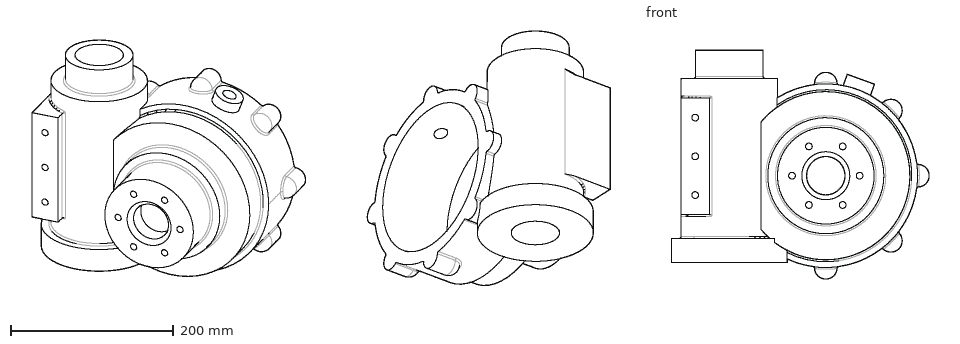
import cadquery as cq
import math


fillet_radius = 2.38
tolerance = 0.03

rim_diameter = 226.2
rim_front = -80.7
cover_diameter = 207.0
cover_front = -116.5
collar_diameter = 143.0
collar_front = -135.5
hub_diameter = 119.0
hub_front = -189.3

shaft_bore_diameter = 47.0
bore_chamfer = 6.0
bore_lip_depth = 28.0
hub_chamber_diameter = 59.5
cavity_diameter = 192.5
wall_thickness = 16.5

screw_hole_diameter = 8.3
screw_hole_depth = 19.0
drill_point_angle = 118
hub_screw_count = 6
hub_screw_circle_diameter = 83.2

lug_count = 8
lug_radius = 14.0
lug_centre_radius = 113.5
lug_length = 28.0

boss_tilt = 20
boss_y = -41.5
boss_diameter = 36.0
boss_hole_diameter = 17.0
boss_top_radius = 126.5

worm_x = -118.8
flange_diameter = 143.0
worm_y = -flange_diameter / 2
flange_bottom = -107.0
flange_top = -77.2
tube_diameter = 119.0
tube_top = 119.8
neck_diameter = 83.5
neck_top = 154.7
worm_bore_diameter = 59.5

pad_width = 35.3
pad_front = -142.0
pad_height = 143.3
pad_mid_z = 23.8
pad_left = worm_x - tube_diameter / 2
pad_hole_pitch = 47.5
pad_hole_count = 3
pad_trim = 6.5

ORIGIN = (0, 0, 0)
Y_AXIS = (0, 1, 0)


def wheel_disc(diameter, back, front):
    """Cylinder about the wheel axis."""
    return cq.Workplane("XZ", origin=(0, back, 0)).circle(diameter / 2).extrude(back - front)


def worm_disc(diameter, bottom, top):
    """Cylinder about the worm axis."""
    plane = cq.Workplane("XY", origin=(worm_x, worm_y, bottom))
    return plane.circle(diameter / 2).extrude(top - bottom)


def corner_ring(diameter):
    """Ring about Z, with a concave face, that fills the corner between a cylinder and the plane Z = 0."""
    radius = diameter / 2
    arc_mid = fillet_radius * (1 - math.sqrt(0.5))
    return (
        cq.Workplane("XZ")
        .moveTo(radius - fillet_radius, 0)
        .lineTo(radius + fillet_radius, 0)
        .threePointArc((radius + arc_mid, arc_mid), (radius, fillet_radius))
        .lineTo(radius - fillet_radius, fillet_radius)
        .close()
        .revolve(360, ORIGIN, Y_AXIS)
    )


def face_front(shape):
    """Turn a shape built along +Z so that it points along -Y."""
    return shape.rotate(ORIGIN, (1, 0, 0), 90)


def around_wheel(shape, count):
    """Evenly spaced copies of a shape about the wheel axis."""
    return [shape.rotate(ORIGIN, Y_AXIS, i * 360 / count) for i in range(count)]


def tilted_post(diameter):
    """Cylinder from the wheel axis out to the top of the filler boss."""
    post = cq.Workplane("XY").circle(diameter / 2).extrude(boss_top_radius)
    return post.rotate(ORIGIN, Y_AXIS, boss_tilt).translate((0, boss_y, 0))


def make_lug():
    shank = cq.Workplane("XZ", origin=(lug_centre_radius, 0, 0)).circle(lug_radius).extrude(lug_length)
    tip = cq.Workplane("XY", origin=(lug_centre_radius, -lug_length, 0)).sphere(lug_radius)
    return shank.union(tip)


def make_rim():
    """Largest step of the housing with its lugs blended in."""
    rim = wheel_disc(rim_diameter, 0, rim_front)
    for lug in around_wheel(make_lug(), lug_count):
        rim = rim.union(lug)

    def is_lug_seam(edge):
        middle = edge.positionAt(0.5)
        on_rim = abs(math.hypot(middle.x, middle.z) - rim_diameter / 2) < tolerance
        return on_rim and rim_front + tolerance < middle.y < -tolerance

    seams = [edge for edge in rim.edges().vals() if is_lug_seam(edge)]
    return rim.newObject(seams).fillet(fillet_radius)


def make_wheel_housing():
    housing = make_rim()
    back = rim_front
    steps = [(cover_diameter, cover_front), (collar_diameter, collar_front), (hub_diameter, hub_front)]
    for diameter, front in steps:
        housing = housing.union(wheel_disc(diameter, back, front))
        housing = housing.union(face_front(corner_ring(diameter)).translate((0, back, 0)))
        back = front
    return housing.union(tilted_post(boss_diameter))


def make_tube_with_pad():
    """Worm tube and pad, blended before the pad is trimmed flush with the side of the tube."""
    tube = worm_disc(tube_diameter, flange_top, tube_top)
    pad_block = cq.Workplane("XY", origin=(pad_left - pad_trim, pad_front, pad_mid_z)).box(
        pad_width + pad_trim, worm_y - pad_front, pad_height, centered=(False, False, True)
    )
    trim_block = cq.Workplane("XY", origin=(pad_left - pad_trim, worm_y, pad_mid_z)).box(
        2 * pad_trim, 2 * pad_height, 2 * pad_height
    )
    tube = tube.union(pad_block)

    def is_pad_seam(edge):
        middle = edge.positionAt(0.5)
        on_tube = abs(math.hypot(middle.x - worm_x, middle.y - worm_y) - tube_diameter / 2) < tolerance
        in_pad_height = abs(middle.z - pad_mid_z) < pad_height / 2 + tolerance
        return on_tube and in_pad_height and middle.y < worm_y - tolerance

    seams = [edge for edge in tube.edges().vals() if is_pad_seam(edge)]
    return tube.newObject(seams).fillet(fillet_radius).cut(trim_block)


def make_worm_housing():
    housing = make_tube_with_pad()
    housing = housing.union(worm_disc(flange_diameter, flange_bottom, flange_top))
    housing = housing.union(worm_disc(neck_diameter, tube_top, neck_top))
    for diameter, face_z in [(tube_diameter, flange_top), (neck_diameter, tube_top)]:
        housing = housing.union(corner_ring(diameter).translate((worm_x, worm_y, face_z)))
    return housing


def make_wheel_hollow():
    """Chamfered shaft bore, wider hub chamber and wheel cavity open at the back."""
    bore_radius = shaft_bore_diameter / 2
    mouth = cq.Solid.makeCone(
        bore_radius + bore_chamfer,
        bore_radius,
        bore_chamfer,
        pnt=cq.Vector(0, hub_front, 0),
        dir=cq.Vector(*Y_AXIS),
    )
    hollow = wheel_disc(shaft_bore_diameter, 0, hub_front).union(cq.Workplane(mouth))
    hollow = hollow.union(wheel_disc(hub_chamber_diameter, 0, hub_front + bore_lip_depth))
    return hollow.union(wheel_disc(cavity_diameter, 0, cover_front + wall_thickness))


def make_hub_screw_hole():
    """Drilled hole with a pointed end, at the +X side of the hub face."""
    radius = screw_hole_diameter / 2
    point_depth = radius / math.tan(math.radians(drill_point_angle / 2))
    drill = (
        cq.Workplane("XZ")
        .polyline([(0, 0), (radius, 0), (radius, -screw_hole_depth), (0, -screw_hole_depth - point_depth)])
        .close()
        .revolve(360, ORIGIN, Y_AXIS)
    )
    return face_front(drill).translate((hub_screw_circle_diameter / 2, hub_front, 0))


def make_pad_holes():
    """Flat-ended holes in a column down the middle of the pad face."""
    return (
        cq.Workplane("XZ", origin=(pad_left + pad_width / 2, pad_front, pad_mid_z))
        .rarray(3.2, pad_hole_pitch, 1, pad_hole_count)
        .circle(screw_hole_diameter / 2)
        .extrude(-screw_hole_depth)
    )


body = make_wheel_housing().union(make_worm_housing())
body = body.cut(make_wheel_hollow())
body = body.cut(tilted_post(boss_hole_diameter))
body = body.cut(worm_disc(worm_bore_diameter, flange_bottom, neck_top))
body = body.cut(make_pad_holes())
for screw_hole in around_wheel(make_hub_screw_hole(), hub_screw_count):
    body = body.cut(screw_hole)

result = body